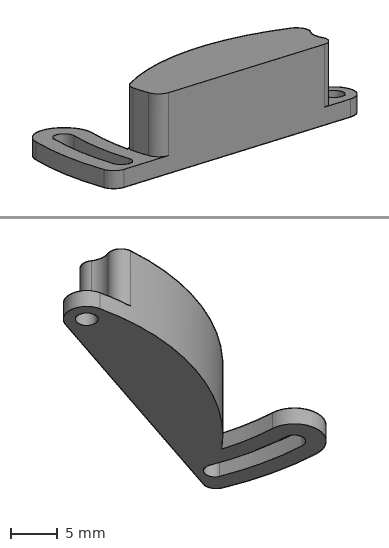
import cadquery as cq
import math

total_height = 9.15
plate_thickness = 2.05
pivot_hole_diameter = 2.45
pivot_radius = 2.5
corner_radius = 1.55

arm_outer_radius = 36.1
arm_inner_radius = 29.25
slot_width = 2.45
slot_start_x = 0.27
arm_end_x = -9.9
arm_mid_radius = (arm_outer_radius + arm_inner_radius) / 2
arm_half_width = (arm_outer_radius - arm_inner_radius) / 2

bow_radius = 30.1
bow_depth = 6.33
bow_x = bow_radius - bow_depth
bow_y = -math.sqrt((bow_radius - pivot_radius) ** 2 - bow_x ** 2)
bow_center = (bow_x, bow_y)
pivot = (0.0, 0.0)


def toward(start, target, distance):
    """Point at a distance from start, in the direction of target."""
    scale = distance / math.dist(start, target)
    return (start[0] + (target[0] - start[0]) * scale, start[1] + (target[1] - start[1]) * scale)


def arc_middle(center, first, last):
    """Middle point of the shorter arc from first to last around center."""
    chord_middle = ((first[0] + last[0]) / 2, (first[1] + last[1]) / 2)
    return toward(center, chord_middle, math.dist(center, first))


def add_arc(sketch, center, first, last):
    return sketch.threePointArc(arc_middle(center, first, last), last)


def below_pivot(x, radius):
    """Point at the given x on the lower half of a circle around the pivot."""
    return (x, -math.sqrt(radius ** 2 - x ** 2))


def circle_crossing(pivot_distance, bow_distance, side):
    """Point at set distances from the pivot and bow center; side is +1 (upper) or -1 (lower)."""
    spacing = math.dist(pivot, bow_center)
    along = (pivot_distance ** 2 - bow_distance ** 2 + spacing ** 2) / (2 * spacing)
    across = side * math.sqrt(pivot_distance ** 2 - along ** 2)
    ux = bow_x / spacing
    uy = bow_y / spacing
    return (along * ux - across * uy, along * uy + across * ux)


def make_body_plate():
    bow_start = toward(bow_center, pivot, bow_radius)
    bow_end = circle_crossing(arm_inner_radius, bow_radius, -1)
    side_end = below_pivot(pivot_radius, arm_inner_radius)
    top_middle = arc_middle(pivot, bow_start, (pivot_radius, 0))
    sketch = cq.Workplane("XY").moveTo(pivot_radius, 0)
    sketch = sketch.threePointArc(top_middle, bow_start)
    sketch = add_arc(sketch, bow_center, bow_start, bow_end)
    sketch = add_arc(sketch, pivot, bow_end, side_end)
    return sketch.close().extrude(plate_thickness)


def make_arm():
    end_center = below_pivot(arm_end_x, arm_mid_radius)
    inner_end = toward(pivot, end_center, arm_inner_radius)
    outer_end = toward(pivot, end_center, arm_outer_radius)
    end_angle = math.atan2(-arm_end_x, -end_center[1])
    tip = (
        end_center[0] - arm_half_width * math.cos(end_angle),
        end_center[1] + arm_half_width * math.sin(end_angle),
    )
    corner_x = pivot_radius - corner_radius
    corner_center = below_pivot(corner_x, arm_outer_radius - corner_radius)
    corner_start = toward(pivot, corner_center, arm_outer_radius)
    corner_end = (pivot_radius, corner_center[1])
    inner_start = below_pivot(pivot_radius, arm_inner_radius)
    sketch = cq.Workplane("XY").moveTo(*inner_start)
    sketch = add_arc(sketch, pivot, inner_start, inner_end)
    sketch = sketch.threePointArc(tip, outer_end)
    sketch = add_arc(sketch, pivot, outer_end, corner_start)
    sketch = add_arc(sketch, corner_center, corner_start, corner_end)
    return sketch.close().extrude(plate_thickness)


def make_slot():
    half_width = slot_width / 2
    first = below_pivot(slot_start_x, arm_mid_radius)
    last = below_pivot(arm_end_x, arm_mid_radius)
    inner_first = toward(pivot, first, arm_mid_radius - half_width)
    outer_first = toward(pivot, first, arm_mid_radius + half_width)
    inner_last = toward(pivot, last, arm_mid_radius - half_width)
    outer_last = toward(pivot, last, arm_mid_radius + half_width)
    sketch = cq.Workplane("XY").moveTo(*inner_first)
    sketch = add_arc(sketch, pivot, inner_first, inner_last)
    sketch = sketch.lineTo(*outer_last)
    sketch = add_arc(sketch, pivot, outer_last, outer_first)
    slot = sketch.close().extrude(plate_thickness)
    ends = cq.Workplane("XY").pushPoints([first, last]).circle(half_width).extrude(plate_thickness)
    return slot.union(ends)


def make_block():
    """Tall block with rounded corners and a hollow that clears the pivot."""
    corner_x = pivot_radius - corner_radius
    upper_right = below_pivot(corner_x, pivot_radius + corner_radius)
    lower_right = below_pivot(corner_x, arm_inner_radius - corner_radius)
    bow_inset = bow_radius - corner_radius
    upper_left = circle_crossing(pivot_radius + corner_radius, bow_inset, -1)
    lower_left = circle_crossing(arm_inner_radius - corner_radius, bow_inset, -1)

    side_top = (pivot_radius, upper_right[1])
    hollow_right = toward(pivot, upper_right, pivot_radius)
    hollow_left = toward(pivot, upper_left, pivot_radius)
    bow_top = toward(bow_center, upper_left, bow_radius)
    bow_bottom = toward(bow_center, lower_left, bow_radius)
    base_left = toward(pivot, lower_left, arm_inner_radius)
    base_right = toward(pivot, lower_right, arm_inner_radius)
    side_bottom = (pivot_radius, lower_right[1])

    sketch = cq.Workplane("XY").moveTo(*side_top)
    sketch = add_arc(sketch, upper_right, side_top, hollow_right)
    sketch = add_arc(sketch, pivot, hollow_right, hollow_left)
    sketch = add_arc(sketch, upper_left, hollow_left, bow_top)
    sketch = add_arc(sketch, bow_center, bow_top, bow_bottom)
    sketch = add_arc(sketch, lower_left, bow_bottom, base_left)
    sketch = add_arc(sketch, pivot, base_left, base_right)
    sketch = add_arc(sketch, lower_right, base_right, side_bottom)
    return sketch.close().extrude(total_height)


pivot_hole = cq.Workplane("XY").circle(pivot_hole_diameter / 2).extrude(plate_thickness)
plate = make_body_plate().union(make_arm()).cut(make_slot()).cut(pivot_hole)
result = plate.union(make_block())